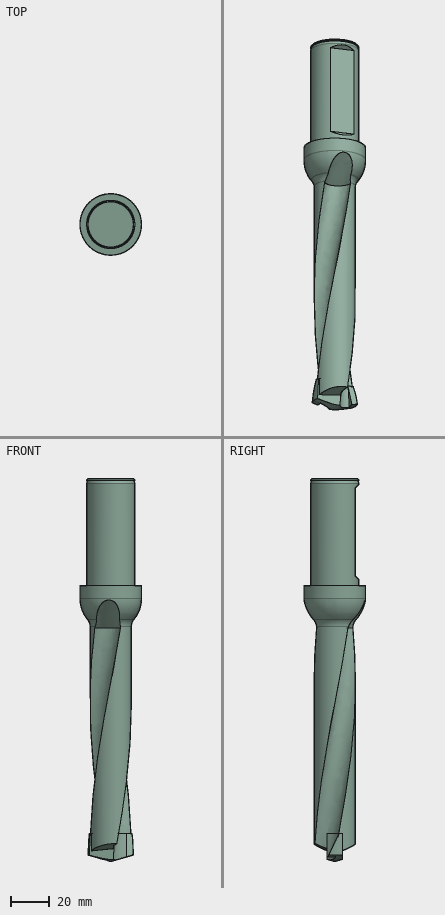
import cadquery as cq
import math

total_length = 199.0
collar_top = 143.3
collar_rim_bottom = 136.5
neck_bottom = 122.0
flute_end = 121.4
body_end = 5.0

shank_radius = 12.5
shank_chamfer = 0.8
groove_top = 197.8
groove_bottom = 196.5
groove_depth = 0.4
blend_joint = 125.8
collar_diameter = 32.0
collar_radius = collar_diameter / 2
body_radius = 10.7
flat_depth = 1.8
flat_top = 195.8
flat_bottom = 146.5

flute_count = 2
flute_radius = 7.2
flute_center_offset = 10.5
twist_per_unit = 1.005
flute_angle_at_point = 137.0
runout_top = 135.7
runout_overrun = 1.3

blade_thickness = 8.2
blade_top = 14.5
blade_top_radius = 11.3
blade_tip_diameter = 23.7
blade_tip_radius = blade_tip_diameter / 2
blade_corner_height = 3.4
land_start = 8.2
land_top_offset = 2.2
land_bottom_offset = 4.8

flank_rise_outward = 0.4
flank_rise_along = 0.1

reach = collar_diameter


def half_turn(shape):
    return shape.rotate((0, 0, 0), (0, 0, 1), 180)


def flute_center(height):
    angle = math.radians(flute_angle_at_point + twist_per_unit * height)
    return (flute_center_offset * math.cos(angle), flute_center_offset * math.sin(angle))


def make_flute_helix():
    """Helical groove with a round cross-section, up to the start of its runout."""
    start = -2.0
    height = flute_end - start
    return (
        cq.Workplane("XY", origin=(0, 0, start))
        .moveTo(*flute_center(start))
        .circle(flute_radius)
        .twistExtrude(height, twist_per_unit * height)
    )


def make_flute_runout():
    """Slanted round groove that leads the flute floor out through the collar, toward -Y."""
    x, y = flute_center(flute_end)
    floor_ratio = (flute_center_offset - flute_radius) / flute_center_offset
    direction = cq.Vector(
        -x * floor_ratio,
        -collar_radius - y * floor_ratio,
        runout_top - flute_end,
    )
    section = cq.Wire.makeCircle(flute_radius, cq.Vector(x, y, flute_end), cq.Vector(0, 0, 1))
    return cq.Workplane(cq.Solid.extrudeLinear(section, [], direction * runout_overrun))


def make_turned_blank():
    """Shank, collar and neck, joined by a convex and a concave arc tangent to each other."""
    joint_fraction = (blend_joint - neck_bottom) / (collar_rim_bottom - neck_bottom)
    joint_radius = body_radius + joint_fraction * (collar_radius - body_radius)
    return (
        cq.Workplane("XZ")
        .lineTo(body_radius, 0)
        .lineTo(body_radius, neck_bottom)
        .tangentArcPoint((joint_radius, blend_joint), relative=False)
        .tangentArcPoint((collar_radius, collar_rim_bottom), relative=False)
        .lineTo(collar_radius, collar_top)
        .lineTo(shank_radius, collar_top)
        .lineTo(shank_radius, groove_bottom)
        .lineTo(shank_radius - groove_depth, groove_top)
        .lineTo(shank_radius, groove_top)
        .lineTo(shank_radius, total_length - shank_chamfer)
        .lineTo(shank_radius - shank_chamfer, total_length)
        .lineTo(0, total_length)
        .close()
        .revolve(360, (0, 0, 0), (0, 1, 0))
    )


def make_shank_flat():
    """Clamping flat on the +Y side of the shank, with 45 degree ends."""
    floor = shank_radius - flat_depth
    return (
        cq.Workplane("YZ")
        .polyline([
            (floor, flat_bottom + flat_depth),
            (shank_radius, flat_bottom),
            (shank_radius, flat_top),
            (floor, flat_top - flat_depth),
        ])
        .close()
        .extrude(shank_radius, both=True)
    )


def make_end_flank():
    """Waste below the flat end flank of the -Y half, which climbs toward -Y and +X."""
    start = body_end - flank_rise_along * reach
    section = cq.Wire.makePolygon(
        [
            cq.Vector(-reach, 0, start),
            cq.Vector(-reach, -reach, start + flank_rise_outward * reach),
            cq.Vector(-reach, -reach, -reach),
            cq.Vector(-reach, 0, -reach),
        ],
        close=True,
    )
    direction = cq.Vector(1, 0, flank_rise_along) * (2 * reach)
    return cq.Workplane(cq.Solid.extrudeLinear(section, [], direction))


def make_blade_plate():
    """Flat-sided space shared by the blade and its slot."""
    return cq.Workplane("XY").box(
        2 * reach, blade_thickness, blade_top, centered=(True, True, False))


def make_drill_body(flute_helix):
    body = make_turned_blank().cut(make_shank_flat())
    flute_runout = make_flute_runout()
    end_flank = make_end_flank()
    for index in range(flute_count):
        for tool in (flute_helix, flute_runout, end_flank):
            body = body.cut(tool if index == 0 else half_turn(tool))
    return body.cut(make_blade_plate())


def make_blade_gash(flute_helix):
    """Flute cut through the inner blade, plus the slanted cutting land at its -X end."""
    inner_zone = cq.Workplane("XY").box(2 * land_start, 2 * reach, 2 * blade_top)
    land_waste = (
        cq.Workplane("YZ", origin=(-land_start, 0, 0))
        .polyline([
            (-land_top_offset, blade_top),
            (reach, blade_top),
            (reach, 0),
            (land_bottom_offset, 0),
        ])
        .close()
        .extrude(-reach)
    )
    return flute_helix.intersect(inner_zone), land_waste


def make_blade(flute_helix):
    cone = (
        cq.Workplane("XZ")
        .polyline([
            (0, 0),
            (blade_tip_radius, blade_corner_height),
            (blade_top_radius, blade_top),
            (0, blade_top),
        ])
        .close()
        .revolve(360, (0, 0, 0), (0, 1, 0))
    )
    blade = cone.intersect(make_blade_plate())
    for tool in make_blade_gash(flute_helix):
        blade = blade.cut(tool).cut(half_turn(tool))
    return blade


flute_helix = make_flute_helix()
drill_body = make_drill_body(flute_helix)
blade = make_blade(flute_helix)

result = cq.Compound.makeCompound([drill_body.solids().val(), blade.solids().val()])